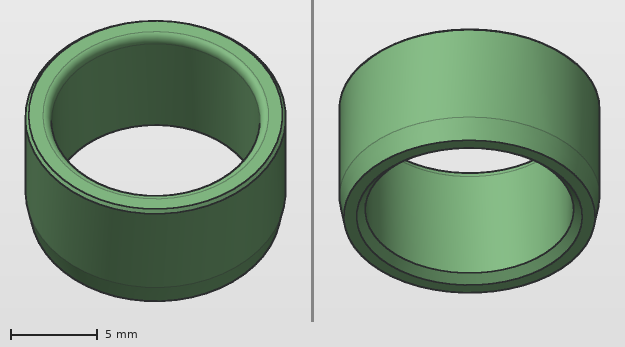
import cadquery as cq
import math

outer_diameter = 15.0
bore_diameter = 12.0
height = 8.0
lead_in_height = 1.5
lead_in_angle = 10.0
top_chamfer = 0.2
bore_fillet = 0.5
bore_chamfer = 0.5

outer_radius = outer_diameter / 2
bore_radius = bore_diameter / 2
lead_in_radius = outer_radius - lead_in_height * math.tan(math.radians(lead_in_angle))
fillet_offset = bore_fillet * (1 - math.sqrt(0.5))

section = (
    cq.Workplane("XZ")
    .moveTo(bore_radius, bore_chamfer)
    .lineTo(bore_radius + bore_chamfer, 0)
    .lineTo(lead_in_radius, 0)
    .lineTo(outer_radius, lead_in_height)
    .lineTo(outer_radius, height - top_chamfer)
    .lineTo(outer_radius - top_chamfer, height)
    .lineTo(bore_radius + bore_fillet, height)
    .threePointArc(
        (bore_radius + fillet_offset, height - fillet_offset),
        (bore_radius, height - bore_fillet),
    )
    .close()
)

result = section.revolve(360, (0, 0, 0), (0, 1, 0))